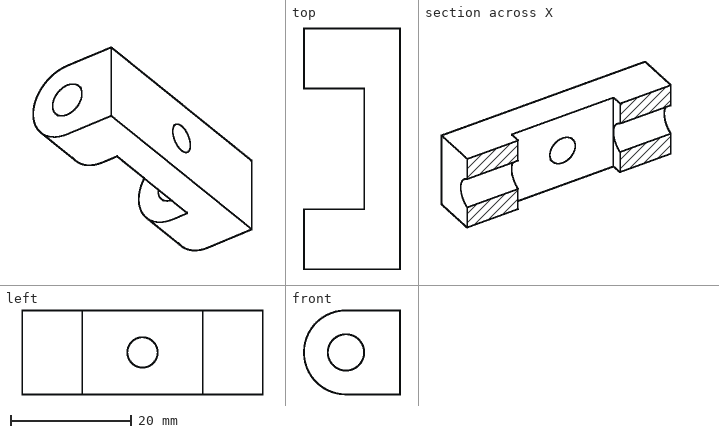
import cadquery as cq

length = 40.0
height = 14.0
depth = 16.0

base_thickness = 6.0
lug_width = 10.0
nose_radius = height / 2

pin_hole_diameter = 6.0
mounting_hole_diameter = 5.0

nose_x = -nose_radius
back_x = nose_x + depth
base_front_x = back_x - base_thickness
gap_length = length - 2 * lug_width


def make_body():
    """D-shaped profile with a round nose, extruded over the full length and centred on Y."""
    return (
        cq.Workplane("XZ")
        .moveTo(back_x, -nose_radius)
        .lineTo(0, -nose_radius)
        .threePointArc((nose_x, 0), (0, nose_radius))
        .lineTo(back_x, nose_radius)
        .close()
        .extrude(length / 2, both=True)
    )


def make_gap():
    """Block that clears the space between the lugs, down to the base bar."""
    return (
        cq.Workplane("XY")
        .box(base_front_x - nose_x, gap_length, height)
        .translate(((nose_x + base_front_x) / 2, 0, 0))
    )


def make_pin_hole():
    """Cylinder through both lugs, concentric with the round nose."""
    return cq.Workplane("XZ").circle(pin_hole_diameter / 2).extrude(length / 2, both=True)


def make_mounting_hole():
    """Cylinder along X through the middle of the base bar."""
    return (
        cq.Workplane("YZ", origin=(base_front_x, 0, 0))
        .circle(mounting_hole_diameter / 2)
        .extrude(base_thickness)
    )


result = make_body().cut(make_gap()).cut(make_pin_hole()).cut(make_mounting_hole())